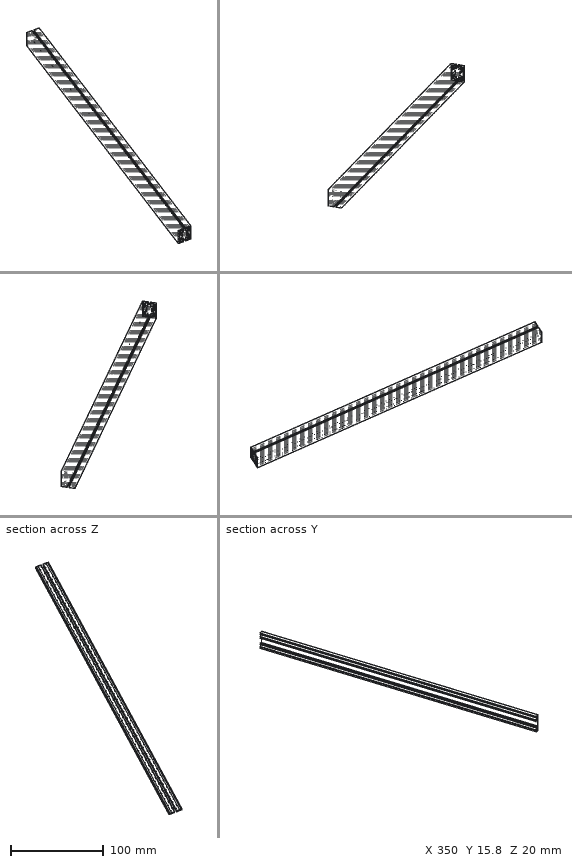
import cadquery as cq

length = 350.0
width = 15.8
height = 20.0

wall = 1.5
outer_fillet = 0.5
flange = 2.0
mouth_gap = 2.0

runner_y = 3.0
runner_z = 6.3
runner_radius = 2.28
bore_radius = 1.58
stem_width = 3.0
stem_top = 7.0
shoulder_top = 4.5
arm_bottom = 3.5
arm_thickness = 0.7
shoulder_half_width = 5.0
waist_half_width = 2.63
waist_half_height = 2.0

inner_half_width = width / 2 - wall
runner_points = [(y, z) for y in (-runner_y, runner_y) for z in (-runner_z, runner_z)]


def profile_plane():
    """Sketch plane across the length, with local axes along Y and Z."""
    return cq.Workplane("YZ", origin=(-length / 2, 0, 0))


def bar(y_size, z_size, y=0, z=0):
    """Full-length rectangular bar centred at (y, z)."""
    return profile_plane().center(y, z).rect(y_size, z_size).extrude(length)


def runners(radius):
    """Full-length cylinders on the four runner axes."""
    return profile_plane().pushPoints(runner_points).circle(radius).extrude(length)


def make_core():
    """Waisted web with side arms, top and bottom stems and four bored runners."""
    quarter = [
        (waist_half_width, waist_half_height),
        (shoulder_half_width, arm_bottom),
        (shoulder_half_width, shoulder_top),
    ]
    right = [(y, -z) for y, z in reversed(quarter)] + quarter
    left = [(-y, -z) for y, z in right]
    core = profile_plane().polyline(right + left).close().extrude(length)
    core = core.union(bar(stem_width, 2 * stem_top))
    for side in (-1, 1):
        arm_z = side * (arm_bottom + arm_thickness / 2)
        core = core.union(bar(2 * inner_half_width, arm_thickness, z=arm_z))
    return core.union(runners(runner_radius)).cut(runners(bore_radius))


def make_rail(side):
    """C channel on one side of the core, grooved where the runners sit in its flanges."""
    depth = (width - mouth_gap) / 2
    rail = bar(depth, height, side * (mouth_gap + depth) / 2)
    outer_edges = "|X and <Y" if side < 0 else "|X and >Y"
    rail = rail.edges(outer_edges).fillet(outer_fillet)
    rail = rail.cut(bar(2 * inner_half_width, height - 2 * flange))
    return rail.cut(runners(runner_radius))


core = make_core()
rails = [make_rail(side) for side in (-1, 1)]

result = cq.Compound.makeCompound([core.val(), *[rail.val() for rail in rails]])